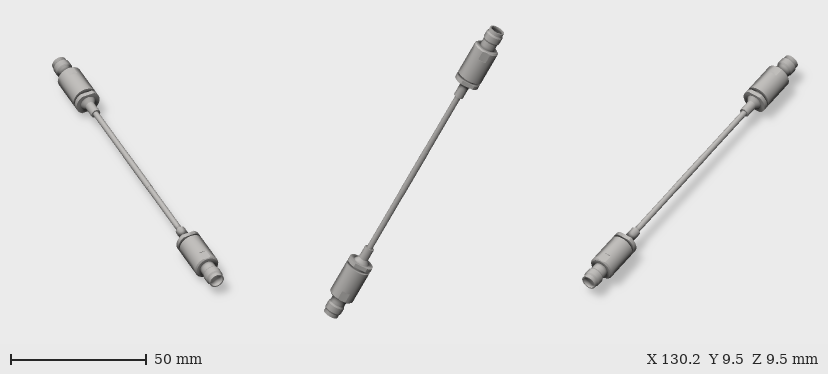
import cadquery as cq

TOTAL_LENGTH = 130.2

RING_START = 1.4
RING_END = 5.1
BODY_START = 8.0
BODY_END = 21.4
FLANGE_START = 22.4
FLANGE_END = 24.0
CONE_END = 25.5
CONNECTOR_LENGTH = 30.3

BARREL_RADIUS = 2.9
RING_RADIUS = 3.3
BODY_RADIUS = 9.5 / 2
COLLAR_RADIUS = 3.3
FLANGE_RADIUS = BODY_RADIUS
CONE_RADIUS = 3.0
FERRULE_RADIUS = 1.8

RING_TAPER = 0.7
BODY_CHAMFER = 0.5

SOCKET_RADIUS = 4.8 / 2
SOCKET_DEPTH = 5.2

BODY_FLAT_END = 12.0
BODY_FLAT_HEIGHT = 9.0 / 2
FLANGE_FLAT_HEIGHT = 8.2 / 2

CABLE_RADIUS = 1.11
BAND_RADIUS = 1.2
BAND_LENGTH = 19.3


def cylinder(radius, start, end):
    """A cylinder on the X axis between two X positions."""
    return cq.Workplane("YZ", origin=(start, 0, 0)).circle(radius).extrude(end - start)


def turned_connector():
    """All round stretches of the connector, revolved from one half profile."""
    profile = [
        (0, 0),
        (0, BARREL_RADIUS),
        (RING_START, BARREL_RADIUS),
        (RING_START + RING_TAPER, RING_RADIUS),
        (RING_END - RING_TAPER, RING_RADIUS),
        (RING_END, BARREL_RADIUS),
        (BODY_START, BARREL_RADIUS),
        (BODY_START, BODY_RADIUS - BODY_CHAMFER),
        (BODY_START + BODY_CHAMFER, BODY_RADIUS),
        (BODY_END, BODY_RADIUS),
        (BODY_END, COLLAR_RADIUS),
        (FLANGE_START, COLLAR_RADIUS),
        (FLANGE_START, FLANGE_RADIUS),
        (FLANGE_END, FLANGE_RADIUS),
        (FLANGE_END, CONE_RADIUS),
        (CONE_END, FERRULE_RADIUS),
        (CONNECTOR_LENGTH, FERRULE_RADIUS),
        (CONNECTOR_LENGTH, 0),
    ]
    return cq.Workplane("XY").polyline(profile).close().revolve(360, (0, 0, 0), (1, 0, 0))


def flat_cutters(start, end, flat_height):
    """Two blocks that mill parallel flats, one at the top and one at the bottom."""
    thickness = BODY_RADIUS - flat_height
    offset = flat_height + thickness / 2
    block = cq.Workplane("XY").box(end - start, 2 * BODY_RADIUS, thickness)
    top_block = block.translate(((start + end) / 2, 0, offset))
    return top_block.union(top_block.mirror("XY"))


def make_connector():
    """Left connector, with its mouth at X = 0 and its ferrule towards +X."""
    connector = turned_connector()
    connector = connector.cut(cylinder(SOCKET_RADIUS, 0, SOCKET_DEPTH))
    connector = connector.cut(flat_cutters(BODY_START, BODY_FLAT_END, BODY_FLAT_HEIGHT))
    return connector.cut(flat_cutters(FLANGE_START, FLANGE_END, FLANGE_FLAT_HEIGHT))


def make_cable():
    """Cable between the two ferrules, one solid with its middle band."""
    middle = TOTAL_LENGTH / 2
    cable = cylinder(CABLE_RADIUS, CONNECTOR_LENGTH, TOTAL_LENGTH - CONNECTOR_LENGTH)
    band = cylinder(BAND_RADIUS, middle - BAND_LENGTH / 2, middle + BAND_LENGTH / 2)
    return cable.union(band)


def make_connectors():
    """The left connector and its copy turned end for end about the middle of the cable."""
    middle = TOTAL_LENGTH / 2
    copies = []
    for angle in (0, 180):
        connector = make_connector().rotate((middle, 0, 0), (middle, 0, 1), angle)
        copies.append(connector.val())
    return copies


connectors = make_connectors()
cable = make_cable()

result = cq.Compound.makeCompound([*connectors, cable.val()])